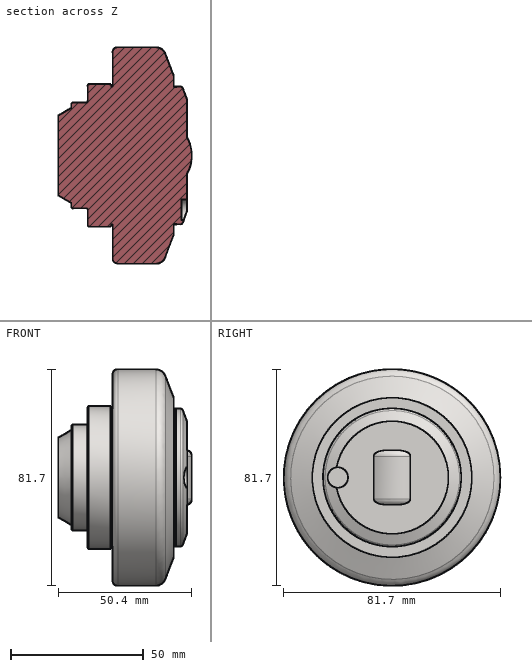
import cadquery as cq
import math

collar_start = 4.9
disc_start = 11.0
disc_end = 20.0
wheel_start = 20.4
wheel_end = 43.55
groove_start = 43.9
groove_end = 44.5
cap_end = 48.5
overall_length = 50.4

nose_tip_radius = 15.1
nose_base_radius = 18.0
collar_radius = 20.0
disc_radius = 27.0
neck_radius = 26.0
wheel_radius = 40.85
wheel_face_radius = 30.1
cap_radius = 26.1
cap_face_radius = 21.25

small_chamfer = 0.5
collar_root_fillet = 0.4
wheel_back_fillet = 2.0
wheel_front_fillet = 4.0
cap_fillet = 1.15
groove_depth = 0.3
taper_angle = 21.0

bar_half_width = 6.9
bar_half_length = 10.4
bar_end_fillet = 2.4

hole_center_y = -20.4
hole_radius = 3.8
hole_depth = 2.05


def cylinder(start, end, radius):
    return cq.Workplane("YZ").workplane(offset=start).circle(radius).extrude(end - start)


def tapered_disc(start, end, radius, face_radius, shoulder_fillet):
    """Disc with a rounded +X shoulder and a steep taper running down to a smaller flat face."""
    taper_start = end - (radius - face_radius) * math.tan(math.radians(taper_angle))
    return (
        cq.Workplane("XY")
        .moveTo(start, 0)
        .lineTo(start, radius)
        .lineTo(taper_start, radius)
        .lineTo(end, face_radius)
        .lineTo(end, 0)
        .close()
        .revolve(360, (0, 0, 0), (1, 0, 0))
        .edges("%CIRCLE")
        .edges(">>X[-2]")
        .fillet(shoulder_fillet)
    )


def make_shaft():
    nose = (
        cq.Workplane("YZ")
        .circle(nose_tip_radius)
        .workplane(offset=collar_start)
        .circle(nose_base_radius)
        .loft(ruled=True)
    )
    collar = cylinder(collar_start, disc_start, collar_radius).faces("<X").edges().chamfer(small_chamfer)
    disc = cylinder(disc_start, disc_end, disc_radius).edges("%CIRCLE").chamfer(small_chamfer)
    neck = cylinder(disc_end, wheel_start, neck_radius)
    stepped = collar.union(disc).edges("%CIRCLE").edges("<<X[-3]").fillet(collar_root_fillet)
    return nose.union(stepped).union(neck)


def make_wheel():
    wheel = tapered_disc(wheel_start, wheel_end, wheel_radius, wheel_face_radius, wheel_front_fillet)
    return wheel.faces("<X").edges().fillet(wheel_back_fillet)


def make_cap():
    cap = tapered_disc(wheel_end, cap_end, cap_radius, cap_face_radius, cap_fillet)
    groove = (
        cq.Workplane("XY")
        .moveTo(groove_start, cap_radius)
        .lineTo((groove_start + groove_end) / 2, cap_radius - groove_depth)
        .lineTo(groove_end, cap_radius)
        .close()
        .revolve(360, (0, 0, 0), (1, 0, 0))
    )
    hole = (
        cq.Workplane("YZ")
        .workplane(offset=cap_end - hole_depth)
        .center(hole_center_y, 0)
        .circle(hole_radius)
        .extrude(hole_depth)
    )
    return cap.cut(groove).cut(hole)


def make_grip_bar():
    """Part-cylinder along Z with rounded ends; only its crown stands above the cap."""
    height = overall_length - cap_end
    dome_radius = (bar_half_width**2 + height**2) / (2 * height)
    bar = (
        cq.Workplane("XY")
        .center(overall_length - dome_radius, 0)
        .circle(dome_radius)
        .extrude(bar_half_length, both=True)
        .edges("%CIRCLE")
        .fillet(bar_end_fillet)
    )
    crown_space = cylinder(cap_end, overall_length, cap_radius)
    return bar.intersect(crown_space)


result = make_shaft().union(make_wheel()).union(make_cap()).union(make_grip_bar())